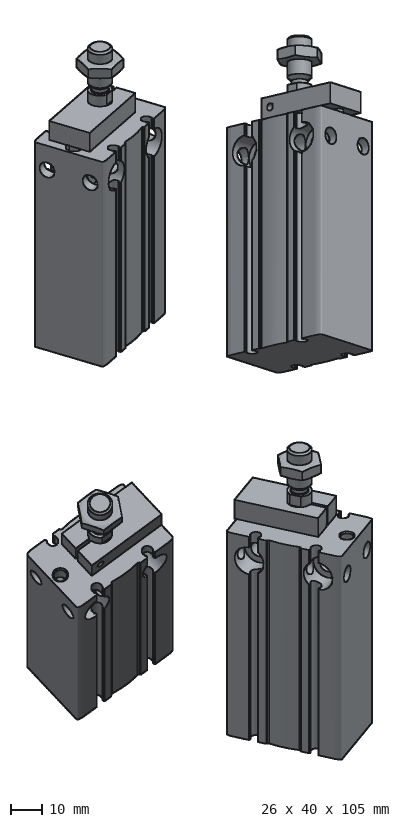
import cadquery as cq
import math


width = 26.0
depth = 40.0
housing_height = 76.0
corner_width = 25.4
corner_y = 19.6
corner_radius = 0.6
end_face_width = 24.2
land_end_y = 17.6
panel_outer_y = 6.1
panel_step_y = 5.8
panel_step_width = 25.2
panel_inner_y = 5.2
panel_edge_width = 24.9
panel_crown_width = 25.7

slot_y = 10.5
slot_width = 3.5
slot_depth = 3.8
slot_mouth = 2.8
lip_thickness = 1.0
lip_chamfer = 0.26

mount_drop = 9.0
mount_diameter = 5.5
side_mount_y = 12.0
front_mount_x = 8.0
counterbore_diameter = 10.0
counterbore_depth = 8.0

port_y = 16.5
port_diameter = 4.1
port_rim_diameter = 5.0
port_depth = 5.2
drill_point_angle = 118

plate_gap = 2.0
plate_thickness = 7.0
plate_width = 15.0
plate_back_y = 9.7
plate_length = 29.1
clamp_slit = 1.0
clamp_hole_diameter = 2.4
clamp_hole_y = 6.0

pin_diameter = 3.0
pin_y = -16.5
pin_bore_diameter = 5.4
pin_bore_depth = 5.2

total_height = 105.0
rod_diameter = 8.0
flats_width = 7.0
flats_height = 4.0
neck_diameter = 5.4
neck_height = 1.6
neck_foot_diameter = 5.9
tip_chamfer = 0.7

nut_flats = 13.0
nut_bottom = 96.8
nut_height = 4.0
nut_face_diameter = 11.9
nut_chamfer_angle = 15

plate_bottom = housing_height + plate_gap
plate_top = plate_bottom + plate_thickness
mount_z = housing_height - mount_drop


def housing_blank():
    """Extruded outline with curved edges, rounded corners and a convex panel on each side."""
    half_width = width / 2
    half_depth = depth / 2
    panel_step_x = panel_step_width / 2
    panel_edge_x = panel_edge_width / 2
    corner_x = corner_width / 2
    end_x = end_face_width / 2
    edge_run = corner_y - land_end_y
    edge_drop = half_width - corner_x
    edge_radius = (edge_run**2 + edge_drop**2) / (2 * edge_drop)
    half_outline = (
        cq.Workplane("XY")
        .moveTo(0, -half_depth)
        .lineTo(end_x, -half_depth)
        .radiusArc((corner_x, -corner_y), -corner_radius)
        .radiusArc((half_width, -land_end_y), -edge_radius)
        .lineTo(half_width, -panel_outer_y)
        .lineTo(panel_step_x, -panel_step_y)
        .lineTo(panel_edge_x, -panel_inner_y)
        .threePointArc((panel_crown_width / 2, 0), (panel_edge_x, panel_inner_y))
        .lineTo(panel_step_x, panel_step_y)
        .lineTo(half_width, panel_outer_y)
        .lineTo(half_width, land_end_y)
        .radiusArc((corner_x, corner_y), -edge_radius)
        .radiusArc((end_x, half_depth), -corner_radius)
        .lineTo(0, half_depth)
    )
    return half_outline.mirrorY().extrude(housing_height)


def sensor_slot():
    """One slot at the +X land, centred on Y = 0: chamfered lips, then a wider round-bottomed pocket."""
    land_x = width / 2
    mouth_half = slot_mouth / 2
    slot_half = slot_width / 2
    pocket_x = land_x - lip_thickness
    round_x = land_x - slot_depth + slot_half
    return (
        cq.Workplane("XY")
        .moveTo(land_x, -mouth_half - lip_chamfer)
        .lineTo(land_x - lip_chamfer, -mouth_half)
        .lineTo(pocket_x, -mouth_half)
        .lineTo(pocket_x, -slot_half)
        .lineTo(round_x, -slot_half)
        .threePointArc((land_x - slot_depth, 0), (round_x, slot_half))
        .lineTo(pocket_x, slot_half)
        .lineTo(pocket_x, mouth_half)
        .lineTo(land_x - lip_chamfer, mouth_half)
        .lineTo(land_x, mouth_half + lip_chamfer)
        .close()
        .extrude(housing_height)
    )


def sensor_slots():
    """Two slots on the +X side and two on the -X side, along the full height."""
    slots = []
    for y in (-slot_y, slot_y):
        right_slot = sensor_slot().translate((0, y, 0))
        slots += [right_slot, right_slot.mirror("YZ")]
    return slots


def side_mounting_holes():
    """Holes right through along X, counterbored from both sides."""
    middle = cq.Workplane("YZ", origin=(0, 0, mount_z))
    hole_places = [(-side_mount_y, 0), (side_mount_y, 0)]
    holes = middle.pushPoints(hole_places).circle(mount_diameter / 2).extrude(width / 2, both=True)
    for side in (-1, 1):
        counterbores = (
            cq.Workplane("YZ", origin=(side * width / 2, 0, mount_z))
            .pushPoints(hole_places)
            .circle(counterbore_diameter / 2)
            .extrude(-side * counterbore_depth)
        )
        holes = holes.union(counterbores)
    return holes


def front_mounting_holes():
    """Plain holes right through along Y."""
    return (
        cq.Workplane("XZ", origin=(0, 0, mount_z))
        .pushPoints([(-front_mount_x, 0), (front_mount_x, 0)])
        .circle(mount_diameter / 2)
        .extrude(depth / 2, both=True)
    )


def pin_bore():
    """Blind clearance bore around the guide pin."""
    return (
        cq.Workplane("XY", origin=(0, pin_y, housing_height))
        .circle(pin_bore_diameter / 2)
        .extrude(-pin_bore_depth)
    )


def port():
    """Blind hole with a 45 degree rim and a drill point, as a solid of revolution."""
    radius = port_diameter / 2
    rim_radius = port_rim_diameter / 2
    point_depth = radius / math.tan(math.radians(drill_point_angle / 2))
    return (
        cq.Workplane("XZ", origin=(0, port_y, housing_height))
        .polyline([
            (0, 0),
            (rim_radius, 0),
            (radius, radius - rim_radius),
            (radius, -port_depth),
            (0, -port_depth - point_depth),
        ])
        .close()
        .revolve()
    )


def make_housing():
    housing = housing_blank()
    for slot in sensor_slots():
        housing = housing.cut(slot)
    return (
        housing
        .cut(side_mounting_holes())
        .cut(front_mounting_holes())
        .cut(port())
        .cut(pin_bore())
    )


def make_plate():
    """Block with the rod bore, a clamping slit to its +Y edge and a screw hole into the slit."""
    plate = (
        cq.Workplane("XY", origin=(0, plate_back_y - plate_length / 2, plate_bottom))
        .box(plate_width, plate_length, plate_thickness, centered=(True, True, False))
    )
    bore = cq.Workplane("XY", origin=(0, 0, plate_bottom)).circle(rod_diameter / 2).extrude(plate_thickness)
    slit = (
        cq.Workplane("XY", origin=(0, 0, plate_bottom))
        .box(clamp_slit, plate_back_y, plate_thickness, centered=(True, False, False))
    )
    screw_hole = (
        cq.Workplane("YZ", origin=(-plate_width / 2, clamp_hole_y, plate_bottom + plate_thickness / 2))
        .circle(clamp_hole_diameter / 2)
        .extrude(plate_width / 2)
    )
    return plate.cut(bore).cut(slit).cut(screw_hole)


def make_guide_pin():
    """Pin from the floor of its bore to the underside of the plate."""
    return (
        cq.Workplane("XY", origin=(0, pin_y, housing_height - pin_bore_depth))
        .circle(pin_diameter / 2)
        .extrude(pin_bore_depth + plate_gap)
    )


def make_rod():
    """Turned rod standing on the housing, with two wrench flats between plate and neck."""
    radius = rod_diameter / 2
    neck_radius = neck_diameter / 2
    foot_radius = neck_foot_diameter / 2
    flats_top = plate_top + flats_height
    neck_top = flats_top + neck_height
    rod = (
        cq.Workplane("XZ")
        .polyline([
            (0, housing_height),
            (radius, housing_height),
            (radius, flats_top),
            (foot_radius, flats_top),
            (neck_radius, flats_top + foot_radius - neck_radius),
            (neck_radius, neck_top),
            (radius, neck_top + radius - neck_radius),
            (radius, total_height - tip_chamfer),
            (radius - tip_chamfer, total_height),
            (0, total_height),
        ])
        .close()
        .revolve()
    )
    flats_section = cq.Workplane("XY", origin=(0, 0, plate_top))
    clear_size = 2 * rod_diameter
    around_flats = (
        flats_section.rect(clear_size, clear_size)
        .rect(flats_width, clear_size)
        .extrude(flats_height)
    )
    return rod.cut(around_flats)


def make_nut():
    """Hexagon with corners on the Y axis, chamfered on both faces and bored for the rod."""
    corner_diameter = nut_flats / math.cos(math.pi / 6)
    corner_radius = corner_diameter / 2
    face_radius = nut_face_diameter / 2
    drop = (corner_radius - face_radius) * math.tan(math.radians(nut_chamfer_angle))
    hexagon = (
        cq.Workplane("XY", origin=(0, 0, nut_bottom))
        .transformed(rotate=(0, 0, 90))
        .polygon(6, corner_diameter)
        .circle(rod_diameter / 2)
        .extrude(nut_height)
    )
    chamfer_envelope = (
        cq.Workplane("XZ", origin=(0, 0, nut_bottom))
        .polyline([
            (0, 0),
            (face_radius, 0),
            (corner_radius, drop),
            (corner_radius, nut_height - drop),
            (face_radius, nut_height),
            (0, nut_height),
        ])
        .close()
        .revolve()
    )
    return hexagon.intersect(chamfer_envelope)


housing = make_housing()
plate = make_plate()
guide_pin = make_guide_pin()
rod = make_rod()
nut = make_nut()

result = cq.Compound.makeCompound([
    housing.val(),
    plate.val(),
    guide_pin.val(),
    rod.val(),
    nut.val(),
])